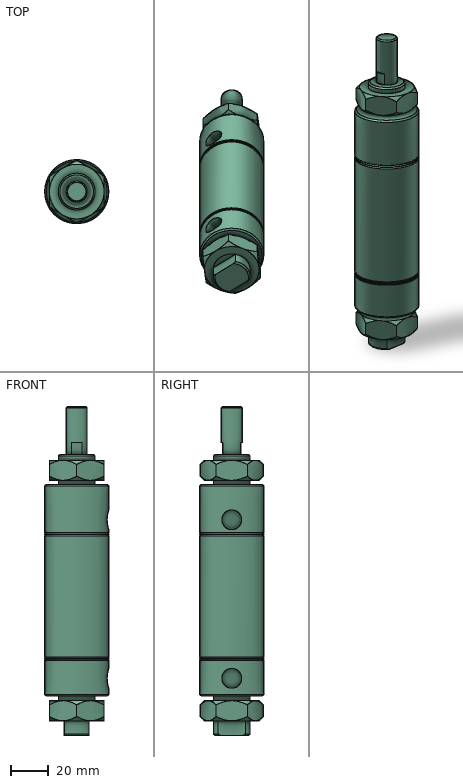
import cadquery as cq
import math


total_length = 174.8
body_radius = 34.0 / 2

body_bottom = 21.0
body_top = 133.5
body_chamfer = 0.9
neck_radius = 19.5 / 2
neck_chamfer = 0.9
neck_top = 149.4

tang_width = 13.3

groove_depth = 0.9
groove_width = 0.9
groove_pitch = 1.0
grooves_per_band = 2
upper_band_top = 108.0
lower_band_bottom = 39.8

port_radius = 5.2
port_depth = 7.0
upper_port_height = 114.6
lower_port_height = 30.4

rod_radius = 11.2 / 2
rod_chamfer = 0.7
rod_flat_width = 9.8
rod_flat_top = 155.7
rod_bottom = body_top

nut_across_flats = 29.0
nut_height = 10.7
nut_bottoms = [7.9, 135.6]


def flat_cutter(flat_width, radius, bottom, top):
    """Thick disc with a slot of the given width along X; cutting with it leaves flats facing +Y and -Y."""
    blank_diameter = 4 * radius
    height = top - bottom
    disc = cq.Workplane("XY").workplane(offset=bottom).circle(blank_diameter / 2).extrude(height)
    slot = cq.Workplane("XY").workplane(offset=bottom).rect(blank_diameter, flat_width).extrude(height)
    return disc.cut(slot)


def make_groove(edge_height, ledge_direction):
    """Sawtooth groove: a flat ledge at edge_height, sloping back to the surface toward ledge_direction."""
    return (
        cq.Workplane("XZ")
        .moveTo(body_radius, edge_height)
        .lineTo(body_radius - groove_depth, edge_height)
        .lineTo(body_radius, edge_height + ledge_direction * groove_width)
        .close()
        .revolve(360, (0, 0, 0), (0, 1, 0))
    )


def make_port(height):
    """Blind radial hole entering from the +X side."""
    return (
        cq.Workplane("YZ")
        .workplane(offset=body_radius - port_depth)
        .center(0, height)
        .circle(port_radius)
        .extrude(2 * port_depth)
    )


def make_cylinder_body():
    barrel = (
        cq.Workplane("XY")
        .workplane(offset=body_bottom)
        .circle(body_radius)
        .extrude(body_top - body_bottom)
        .faces("<Z or >Z")
        .chamfer(body_chamfer)
    )
    neck = cq.Workplane("XY").circle(neck_radius).extrude(neck_top).faces("<Z or >Z").chamfer(neck_chamfer)
    body = barrel.union(neck)

    for index in range(grooves_per_band):
        body = body.cut(make_groove(upper_band_top - index * groove_pitch, -1))
        body = body.cut(make_groove(lower_band_bottom + index * groove_pitch, 1))

    for height in [upper_port_height, lower_port_height]:
        body = body.cut(make_port(height))

    tang_cutter = flat_cutter(tang_width, neck_radius, 0, nut_bottoms[0])
    body = body.cut(tang_cutter.rotate((0, 0, 0), (0, 0, 1), 90))

    rod_bore = cq.Workplane("XY").workplane(offset=rod_bottom).circle(rod_radius).extrude(neck_top - rod_bottom)
    return body.cut(rod_bore)


def make_rod():
    rod = (
        cq.Workplane("XY")
        .workplane(offset=rod_bottom)
        .circle(rod_radius)
        .extrude(total_length - rod_bottom)
        .faces(">Z")
        .chamfer(rod_chamfer)
    )
    return rod.cut(flat_cutter(rod_flat_width, rod_radius, neck_top, rod_flat_top))


def make_nut(bottom):
    """Hexagon nut with two flats facing +X and -X and its corners chamfered at 45 degrees on both ends."""
    across_corners = nut_across_flats / math.cos(math.pi / 6)
    corner_chamfer = (across_corners - nut_across_flats) / 2
    hexagon = (
        cq.Workplane("XY")
        .polygon(6, across_corners)
        .extrude(nut_height)
        .rotate((0, 0, 0), (0, 0, 1), 30)
    )
    rounding = (
        cq.Workplane("XY")
        .circle(across_corners / 2)
        .extrude(nut_height)
        .faces("<Z or >Z")
        .chamfer(corner_chamfer)
    )
    bore = cq.Workplane("XY").circle(neck_radius).extrude(nut_height)
    return hexagon.intersect(rounding).cut(bore).translate((0, 0, bottom))


cylinder_body = make_cylinder_body()
rod = make_rod()
nuts = [make_nut(bottom) for bottom in nut_bottoms]

result = cq.Compound.makeCompound([cylinder_body.val(), rod.val(), *[nut.val() for nut in nuts]])